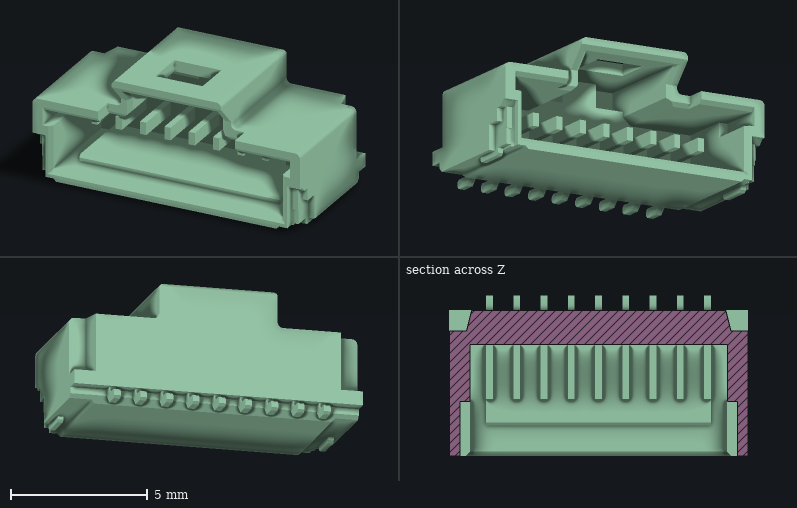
import cadquery as cq
import math


WIDTH = 11.0
HALF_WIDTH = WIDTH / 2
TOP = 4.7
SHOULDER_TOP = 3.31
SIDE_BOTTOM = 0.21
BASE_BOTTOM = 0.1
BASE_HALF_WIDTH = 4.64
REAR = 5.36
TOWER_HALF_WIDTH = 2.25
EDGE_RADIUS = 0.21

CAVITY_HALF_WIDTH = 4.72
CAVITY_FLOOR = 0.53
CAVITY_CEILING = 2.85
CAVITY_DEPTH = 4.09
TOWER_CAVITY_HALF_WIDTH = 1.86
TOWER_CEILING = 4.25
TOWER_CORNER = 0.31
LEAD_IN = 0.15
FLOOR_LEAD_IN = 0.18

STEP_HALF_WIDTH = 4.14
STEP_FRONT = 1.11
STEP_TOP = 0.81
STEP_CHAMFER = 0.11

KEY_HALF_WIDTH = 5.08
KEY_FLOOR = 2.28
KEY_DEPTH = 2.0

RECESS_FLOOR = 3.35
RECESS_DEPTH = 0.77
RECESS_MOUTH_X = 0.7
RECESS_BACK_X = 0.97

NOTCH_HALF_WIDTH = 2.82
NOTCH_DEPTH = 0.8
LIP_BOTTOM = 4.42

WINDOW_HALF_WIDTH = 0.97
WINDOW_FRONT = 1.05
WINDOW_REAR = 2.58

CORNER_FRONT = 4.61
CORNER_FLOOR = 1.12
CORNER_FRONT_X = 4.86
CORNER_REAR_X = 4.68
LEG_SPACE_FRONT = 4.83
LEG_SPACE_TOP = 0.59
REAR_CHAMFER = 0.25

PIN_COUNT = 9
PIN_PITCH = 1.0
PIN_WIDTH = 0.25
PIN_TIP = 2.09
PIN_BOTTOM = 1.67
PIN_TOP = 2.18
LEG_REAR = 5.2
TAIL_END = 5.9
TAIL_THICKNESS = 0.35
TAIL_BEND = 0.14
TAIL_CHAMFER = 0.1

CLIP_OUTER_X = 5.26
CLIP_INNER_X = 5.05
CLIP_FRONT = 0.3
CLIP_SETBACK = 0.05
CLIP_STEP_Z = 0.88
CLIP_BOTTOM = 0.29
CLIP_REAR = 1.19
CLIP_SHOULDER_Y = 0.63
CLIP_SHOULDER_Z = 1.19
CLIP_TOP = 1.68
FOOT_FRONT = 0.96
FOOT_REAR = 2.25
FOOT_CHAMFER = 0.09

SLOT_TOP = 1.89
SLOT_LIP_DEPTH = 0.15
SLOT_WALL_X = 4.97

OVERCUT = 0.55


def box(x_range, y_range, z_range):
    """Axis-aligned block from its limits along X, Y and Z."""
    sizes = [high - low for low, high in (x_range, y_range, z_range)]
    corner = (x_range[0], y_range[0], z_range[0])
    return cq.Workplane("XY").box(*sizes, centered=False).translate(corner)


def across(yz_points, x_start, x_end):
    """Prism along X with a (Y, Z) outline."""
    outline = cq.Workplane("YZ").workplane(offset=x_start).polyline(yz_points).close()
    return outline.extrude(x_end - x_start)


def upright(xy_points, z_start, z_end):
    """Prism along Z with an (X, Y) outline."""
    outline = cq.Workplane("XY").workplane(offset=z_start).polyline(xy_points).close()
    return outline.extrude(z_end - z_start)


def both_sides(shape):
    """The shape together with its mirror image about the YZ plane."""
    return shape.union(shape.mirror("YZ"))


def mirrored_outline(right_half):
    """Outline symmetric about X = 0, from the points of its right half."""
    return right_half + [(-x, other) for x, other in reversed(right_half)]


def front_air(inset, z_top):
    """(Y, Z) outline of the space ahead of the cut-back tower front, set back by inset.

    The upper stretch leans forward at 45 degrees, so an equal set-back square to it
    moves it by inset * sqrt(2) along Y.
    """
    upright_y = NOTCH_DEPTH + inset
    slope_sum = LIP_BOTTOM + inset * math.sqrt(2)
    return [
        (-OVERCUT, CAVITY_CEILING),
        (upright_y, CAVITY_CEILING),
        (upright_y, slope_sum - upright_y),
        (slope_sum - z_top, z_top),
        (-OVERCUT, z_top),
    ]


def make_shell():
    half = [
        (BASE_HALF_WIDTH - (SIDE_BOTTOM - BASE_BOTTOM), BASE_BOTTOM),
        (BASE_HALF_WIDTH, SIDE_BOTTOM),
        (HALF_WIDTH, SIDE_BOTTOM),
        (HALF_WIDTH, SHOULDER_TOP),
        (TOWER_HALF_WIDTH, SHOULDER_TOP),
        (TOWER_HALF_WIDTH, TOP),
    ]
    shell = cq.Workplane("XZ").polyline(mirrored_outline(half)).close().extrude(-REAR)
    rounded_zone = cq.selectors.BoxSelector(
        (-HALF_WIDTH - OVERCUT, 0, CAVITY_CEILING),
        (HALF_WIDTH + OVERCUT, REAR, TOP + OVERCUT),
    )
    shell = shell.edges("|Y").edges(rounded_zone).fillet(EDGE_RADIUS)
    rear_rounded = box((-HALF_WIDTH, HALF_WIDTH), (0, REAR), (0, TOP))
    rear_rounded = rear_rounded.edges(">Y and >Z").fillet(EDGE_RADIUS)
    return shell.intersect(rear_rounded)


def cut_cavity(body):
    half = [
        (CAVITY_HALF_WIDTH, CAVITY_FLOOR),
        (CAVITY_HALF_WIDTH, CAVITY_CEILING),
        (TOWER_CAVITY_HALF_WIDTH + TOWER_CORNER, CAVITY_CEILING),
        (TOWER_CAVITY_HALF_WIDTH, CAVITY_CEILING + TOWER_CORNER),
        (TOWER_CAVITY_HALF_WIDTH, TOWER_CEILING),
    ]
    cavity = cq.Workplane("XZ").polyline(mirrored_outline(half)).close().extrude(-CAVITY_DEPTH)
    key = box((-KEY_HALF_WIDTH, KEY_HALF_WIDTH), (0, KEY_DEPTH), (KEY_FLOOR, CAVITY_CEILING))
    return body.cut(cavity).cut(key)


def cut_tower_front(body):
    notch = across(front_air(0, LIP_BOTTOM), -NOTCH_HALF_WIDTH, NOTCH_HALF_WIDTH)
    return body.cut(notch)


def ceiling_lead_in(y_front, half_width):
    """Wedge that flares the cavity ceiling upward at y_front."""
    wedge = [
        (y_front, CAVITY_CEILING),
        (y_front, CAVITY_CEILING + LEAD_IN),
        (y_front + LEAD_IN, CAVITY_CEILING),
    ]
    return across(wedge, -half_width, half_width)


def mouth_lead_in():
    """Flared floor and side walls at the front of the cavity, meeting along mitres."""
    mouth_half_width = CAVITY_HALF_WIDTH + LEAD_IN
    mouth_floor = CAVITY_FLOOR - FLOOR_LEAD_IN
    plan = mirrored_outline([(mouth_half_width, 0), (CAVITY_HALF_WIDTH, LEAD_IN)])
    side_profile = [
        (0, mouth_floor),
        (LEAD_IN, CAVITY_FLOOR),
        (LEAD_IN, KEY_FLOOR),
        (0, KEY_FLOOR),
    ]
    flared_sides = upright(plan, mouth_floor, KEY_FLOOR)
    flared_floor = across(side_profile, -mouth_half_width, mouth_half_width)
    return flared_sides.intersect(flared_floor)


def tower_side_lead_in():
    """Flare of the tower cavity's right wall, following the cut-back front."""
    return (
        cq.Workplane("YZ")
        .workplane(offset=TOWER_CAVITY_HALF_WIDTH)
        .polyline(front_air(LEAD_IN, TOWER_CEILING))
        .close()
        .workplane(offset=LEAD_IN)
        .polyline(front_air(0, TOWER_CEILING))
        .close()
        .loft(ruled=True)
    )


def cut_lead_ins(body):
    body = body.cut(mouth_lead_in())
    body = body.cut(ceiling_lead_in(0, KEY_HALF_WIDTH))
    body = body.cut(ceiling_lead_in(NOTCH_DEPTH, NOTCH_HALF_WIDTH))
    return body.cut(both_sides(tower_side_lead_in()))


def cut_recesses(body):
    recess = upright(
        [
            (RECESS_MOUTH_X, CAVITY_DEPTH),
            (TOWER_CAVITY_HALF_WIDTH, CAVITY_DEPTH),
            (TOWER_CAVITY_HALF_WIDTH, CAVITY_DEPTH + RECESS_DEPTH),
            (RECESS_BACK_X, CAVITY_DEPTH + RECESS_DEPTH),
        ],
        RECESS_FLOOR,
        TOWER_CEILING,
    )
    return body.cut(both_sides(recess))


def cut_window(body):
    window = box(
        (-WINDOW_HALF_WIDTH, WINDOW_HALF_WIDTH),
        (WINDOW_FRONT, WINDOW_REAR),
        (TOWER_CEILING, TOP),
    )
    return body.cut(window)


def cut_rear(body):
    corner = upright(
        [
            (HALF_WIDTH, CORNER_FRONT),
            (CORNER_FRONT_X, CORNER_FRONT),
            (CORNER_REAR_X, REAR),
            (HALF_WIDTH, REAR),
        ],
        CORNER_FLOOR,
        SHOULDER_TOP,
    )
    chamfer_top = BASE_BOTTOM + REAR_CHAMFER
    leg_space = [
        (REAR, 0),
        (REAR, LEG_SPACE_TOP),
        (LEG_SPACE_FRONT, LEG_SPACE_TOP),
        (LEG_SPACE_FRONT, chamfer_top),
        (LEG_SPACE_FRONT - chamfer_top, 0),
    ]
    return body.cut(both_sides(corner)).cut(across(leg_space, -HALF_WIDTH, HALF_WIDTH))


def make_floor_step():
    outline = [
        (STEP_FRONT, CAVITY_FLOOR),
        (STEP_FRONT, STEP_TOP - STEP_CHAMFER),
        (STEP_FRONT + STEP_CHAMFER, STEP_TOP),
        (CAVITY_DEPTH, STEP_TOP),
        (CAVITY_DEPTH, CAVITY_FLOOR),
    ]
    return across(outline, -STEP_HALF_WIDTH, STEP_HALF_WIDTH)


def make_pin():
    """Right-angle pin: contact blade, leg inside the rear wall, and a flat solder tail."""
    half_width = PIN_WIDTH / 2
    outline = [
        (PIN_TIP, PIN_BOTTOM),
        (PIN_TIP, PIN_TOP),
        (LEG_REAR, PIN_TOP),
        (LEG_REAR, TAIL_THICKNESS + TAIL_BEND),
        (LEG_REAR + TAIL_BEND, TAIL_THICKNESS),
        (TAIL_END, TAIL_THICKNESS),
        (TAIL_END, 0),
        (LEG_REAR, 0),
        (LEG_SPACE_FRONT, LEG_REAR - LEG_SPACE_FRONT),
        (LEG_SPACE_FRONT, PIN_BOTTOM),
    ]
    return across(outline, -half_width, half_width).faces(">Y").edges("|X").chamfer(TAIL_CHAMFER)


def cut_clip_slots(body):
    slot_profile = [
        (0, 0),
        (0, SLOT_TOP),
        (SLOT_LIP_DEPTH, SLOT_TOP),
        (SLOT_LIP_DEPTH + SLOT_TOP - CLIP_TOP, CLIP_TOP),
        (CLIP_SHOULDER_Y, CLIP_TOP),
        (CLIP_SHOULDER_Y, CLIP_SHOULDER_Z),
        (CLIP_REAR, CLIP_SHOULDER_Z),
        (CLIP_REAR, 0),
    ]
    chamfer_end = CLIP_FRONT + CLIP_INNER_X - SLOT_WALL_X
    slot_plan = [
        (HALF_WIDTH, 0),
        (SLOT_WALL_X, 0),
        (SLOT_WALL_X, CLIP_FRONT),
        (CLIP_INNER_X, chamfer_end),
        (CLIP_INNER_X, CLIP_REAR),
        (HALF_WIDTH, CLIP_REAR),
    ]
    slot = across(slot_profile, SLOT_WALL_X, HALF_WIDTH).intersect(upright(slot_plan, 0, SLOT_TOP))
    return body.cut(both_sides(slot))


def make_clips():
    lower_front = CLIP_FRONT + CLIP_SETBACK
    plate_profile = [
        (CLIP_FRONT, CLIP_TOP),
        (CLIP_SHOULDER_Y, CLIP_TOP),
        (CLIP_SHOULDER_Y, CLIP_SHOULDER_Z),
        (CLIP_REAR, CLIP_SHOULDER_Z),
        (CLIP_REAR, SIDE_BOTTOM),
        (FOOT_FRONT, SIDE_BOTTOM),
        (FOOT_FRONT, CLIP_BOTTOM),
        (lower_front, CLIP_BOTTOM),
        (lower_front, CLIP_STEP_Z),
        (CLIP_FRONT, CLIP_STEP_Z),
    ]
    plate = across(plate_profile, CLIP_INNER_X, CLIP_OUTER_X)
    foot = box((CLIP_INNER_X, CLIP_OUTER_X), (FOOT_FRONT, FOOT_REAR), (0, SIDE_BOTTOM))
    foot = foot.faces("<Z").edges("|X").chamfer(FOOT_CHAMFER)
    return both_sides(plate.union(foot))


housing = cut_cavity(make_shell())
housing = cut_tower_front(housing)
housing = cut_lead_ins(housing)
housing = cut_recesses(housing)
housing = cut_window(housing)
housing = cut_rear(housing)
housing = cut_clip_slots(housing)

result = housing.union(make_floor_step()).union(make_clips())
pin = make_pin()
for index in range(PIN_COUNT):
    pin_x = (index - (PIN_COUNT - 1) / 2) * PIN_PITCH
    result = result.union(pin.translate((pin_x, 0, 0)))